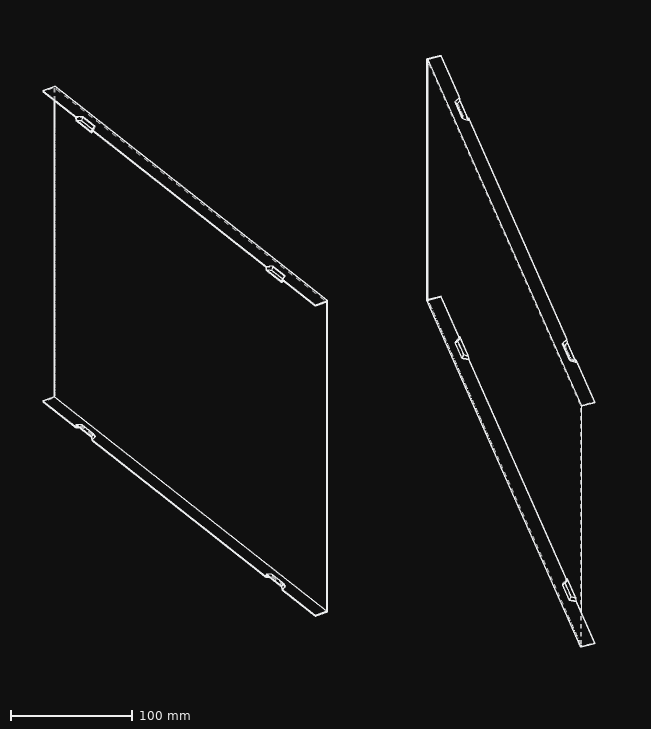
import cadquery as cq

length = 400.0
depth = 12.5
height = 304.5
thickness = 1.0

dimple_spacing = 279.0
dimple_drop = 3.8
mouth_width = 25.0
back_width = 19.0
dimple_reach = 5.5
side_taper = 1.0
back_taper = 2.0
dimple_wall = 0.7

front_y = -depth / 2
top_z = height / 2


def make_channel():
    """Flat web with two flanges folded toward -Y."""
    panel = cq.Workplane("XY").box(length, depth, height)
    inside = (
        cq.Workplane("XY")
        .box(length, depth, height - 2 * thickness)
        .translate((0, -thickness, 0))
    )
    return panel.cut(inside)


def make_dimple_block(center_x, inset, drop):
    """Tapered trapezoidal block hanging from the outer face of the top flange."""

    def outline(shrink_side, shrink_back):
        half_mouth = mouth_width / 2 - shrink_side
        half_back = back_width / 2 - shrink_side
        back_y = front_y + dimple_reach - shrink_back
        return [
            (center_x - half_mouth, front_y),
            (center_x + half_mouth, front_y),
            (center_x + half_back, back_y),
            (center_x - half_back, back_y),
        ]

    return (
        cq.Workplane("XY", origin=(0, 0, top_z))
        .polyline(outline(inset, inset))
        .close()
        .workplane(offset=-drop)
        .polyline(outline(inset + side_taper, inset + back_taper))
        .close()
        .loft(ruled=True, combine=True)
    )


result = make_channel()
for center_x in (-dimple_spacing / 2, dimple_spacing / 2):
    shell = make_dimple_block(center_x, 0, dimple_drop)
    hollow = make_dimple_block(center_x, dimple_wall, dimple_drop - thickness)
    result = result.union(shell).cut(hollow)
    result = result.union(shell.mirror("XY")).cut(hollow.mirror("XY"))